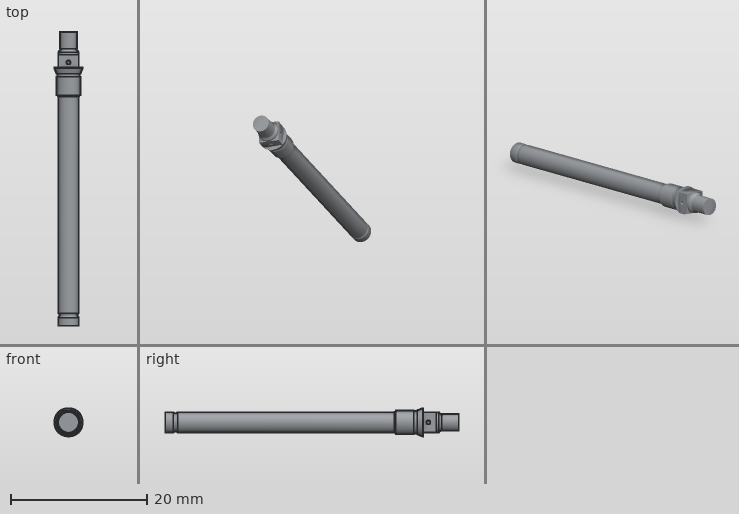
import cadquery as cq

length = 43.1
body_radius = 1.5
tip_radius = 1.25
neck_radius = 1.08
collar_radius = 1.75
flange_diameter = 4.2
flange_radius = flange_diameter / 2

groove_start = 1.2
groove_end = 1.85
collar_taper_start = 33.57
collar_start = 33.85
collar_end = 36.5
flare_start = 37.0
rim_start = 37.75
rim_end = 37.9
square_end = 39.75
cone_start = 40.13
tip_start = 40.6

groove_depth = 0.17
collar_taper_radius = 1.6
collar_neck_radius = 1.7
square_side = 2 * body_radius
dimple_radius = 0.3
dimple_depth = 0.35
dimple_position = 38.6


def turned_pin():
    """Solid of revolution about Y, with a round-bottomed groove near the front."""
    groove_middle = (groove_start + groove_end) / 2
    profile = (
        cq.Workplane("XY")
        .lineTo(body_radius, 0)
        .lineTo(body_radius, groove_start)
        .threePointArc((body_radius - groove_depth, groove_middle), (body_radius, groove_end))
        .lineTo(body_radius, collar_taper_start)
        .lineTo(collar_taper_radius, collar_start)
        .lineTo(collar_radius, collar_start)
        .lineTo(collar_radius, collar_end)
        .lineTo(collar_neck_radius, collar_end)
        .lineTo(collar_neck_radius, flare_start)
        .lineTo(collar_radius, flare_start)
        .lineTo(flange_radius, rim_start)
        .lineTo(flange_radius, rim_end)
        .lineTo(body_radius, rim_end)
        .lineTo(body_radius, cone_start)
        .lineTo(neck_radius, tip_start)
        .lineTo(tip_radius, tip_start)
        .lineTo(tip_radius, length)
        .lineTo(0, length)
        .close()
    )
    return profile.revolve(360, (0, 0, 0), (0, 1, 0))


def square_section():
    """Square block behind the flange, as wide as the body."""
    block_length = square_end - rim_end
    return cq.Workplane("XY").box(square_side, block_length, square_side).translate(
        (0, rim_end + block_length / 2, 0)
    )


def dimple():
    """Conical dimple cutter in the top face of the square section."""
    cone = cq.Solid.makeCone(
        dimple_radius,
        0,
        dimple_depth,
        pnt=cq.Vector(0, dimple_position, square_side / 2),
        dir=cq.Vector(0, 0, -1),
    )
    return cq.Workplane(cone)


result = turned_pin().union(square_section())

for turn in range(4):
    result = result.cut(dimple().rotate((0, 0, 0), (0, 1, 0), turn * 90))